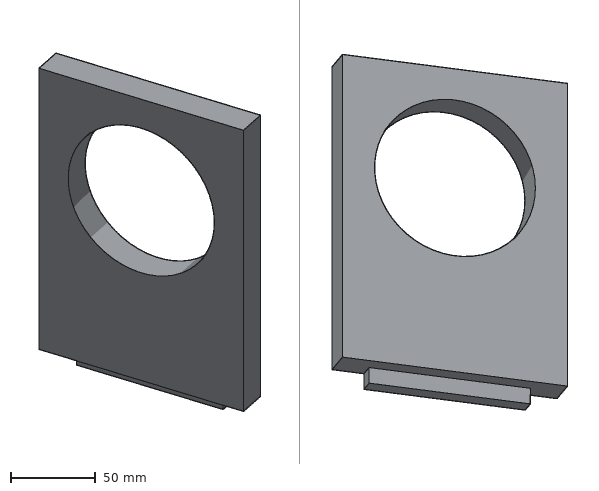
import cadquery as cq

width = 140.0
thickness = 20.0
total_height = 204.5

tongue_width = 100.4
tongue_height = 10.0
tongue_thickness = thickness / 2

window_diameter = 100.0
window_center_z = total_height - width / 2

plate_height = total_height - tongue_height


def make_plate():
    """Upright plate standing on the level of the tongue's top."""
    return (
        cq.Workplane("XY")
        .box(width, thickness, plate_height, centered=(True, False, False))
        .translate((0, 0, tongue_height))
    )


def make_tongue():
    """Narrow tongue in the back half of the thickness."""
    return (
        cq.Workplane("XY")
        .box(tongue_width, tongue_thickness, tongue_height, centered=(True, False, False))
        .translate((0, thickness - tongue_thickness, 0))
    )


def make_window():
    """Cylinder along Y that cuts through the whole plate."""
    return (
        cq.Workplane("XZ")
        .center(0, window_center_z)
        .circle(window_diameter / 2)
        .extrude(-thickness)
    )


result = make_plate().union(make_tongue()).cut(make_window())